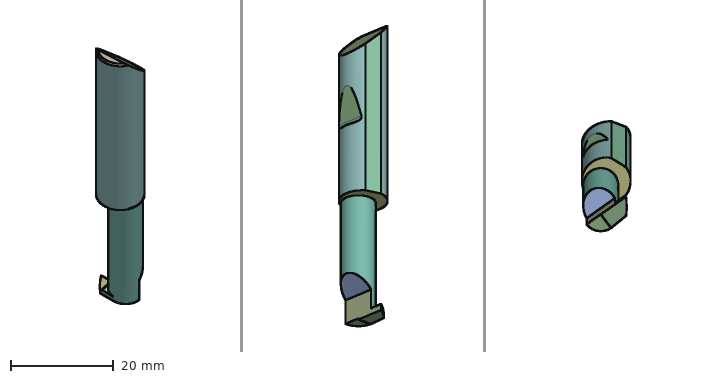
import cadquery as cq
import math

length = 63.5
shank_radius = 4.75
shank_bottom = 25.4
flat_angle = 42.0

bevel_start_y = -2.9
end_chamfer = 0.4

notch_top = 48.9
notch_bottom = 40.3
notch_floor_y = 3.5
notch_corner_radius = 1.15

neck_radius = 3.4
neck_x = shank_radius - neck_radius
neck_bottom = 0.25
relief_top = 8.8

tooth_height = 1.35
tooth_side_relief = 0.2
tooth_heel_x = -2.55
tooth_heel_y = -3.2
tooth_flank_bulge = 0.1
tooth_back_x = neck_x
margin = 0.65


def side_cutter(points):
    """Solid spanning the whole width, from a profile of (y, z) points."""
    width = 2 * (shank_radius + margin)
    return cq.Workplane("YZ").polyline(points).close().extrude(width / 2, both=True)


def make_shank():
    shank = (
        cq.Workplane("XY", origin=(0, 0, shank_bottom))
        .circle(shank_radius)
        .extrude(length - shank_bottom)
        .faces(">Z")
        .chamfer(end_chamfer)
    )
    flat_distance = shank_radius * math.cos(math.radians(flat_angle / 2))
    flat_cutter = (
        cq.Workplane("XY")
        .box(shank_radius, 2 * shank_radius, length, centered=(False, True, False))
        .translate((-flat_distance - shank_radius, 0, 0))
        .rotate((0, 0, 0), (0, 0, 1), -flat_angle / 2)
    )
    back_y = shank_radius + margin
    bevel_cutter = side_cutter([
        (bevel_start_y - margin, length + margin),
        (back_y, length + margin),
        (back_y, length - (back_y - bevel_start_y)),
    ])
    return shank.cut(flat_cutter).cut(bevel_cutter)


def make_notch_cutter():
    """Wedge notch across the back, rounded at its deep corner."""
    corner_z = notch_bottom
    cutter = side_cutter([
        (shank_radius, notch_top),
        (notch_floor_y, corner_z),
        (shank_radius + margin, corner_z),
        (shank_radius + margin, notch_top),
    ])
    return cutter.edges("|X").edges("<Y").fillet(notch_corner_radius)


def make_neck():
    neck = (
        cq.Workplane("XY", origin=(neck_x, 0, neck_bottom))
        .circle(neck_radius)
        .extrude(shank_bottom - neck_bottom)
    )
    back_y = neck_radius + margin
    relief_cutter = side_cutter([
        (0, 0),
        (0, relief_top - neck_radius),
        (back_y, relief_top + margin),
        (back_y, 0),
    ])
    return neck.cut(relief_cutter)


def make_tooth():
    """Hook tooth with its cutting face on Y = 0, on a plate that blends into the neck."""
    outline = (
        cq.Workplane("XY")
        .moveTo(tooth_back_x, 0)
        .lineTo(-shank_radius, 0)
        .sagittaArc((tooth_heel_x, tooth_heel_y), -tooth_flank_bulge)
        .lineTo(tooth_back_x, -neck_radius)
        .close()
    )
    plate = outline.extrude(tooth_height)
    bottom_relief = side_cutter([
        (0, 0),
        (-neck_radius, tooth_side_relief),
        (-neck_radius, 0),
    ])
    neck_edge_x = neck_x - neck_radius
    top_relief = side_cutter([
        (0, tooth_height),
        (-neck_radius, tooth_height - tooth_side_relief),
        (-neck_radius, tooth_height + margin),
        (0, tooth_height + margin),
    ])
    hook_zone = (
        cq.Workplane("XY")
        .box(shank_radius, 2 * shank_radius, shank_radius)
        .translate((neck_edge_x - shank_radius / 2, 0, 0))
    )
    return plate.cut(bottom_relief).cut(top_relief.intersect(hook_zone))


shank = make_shank().cut(make_notch_cutter())
result = shank.union(make_neck()).union(make_tooth())